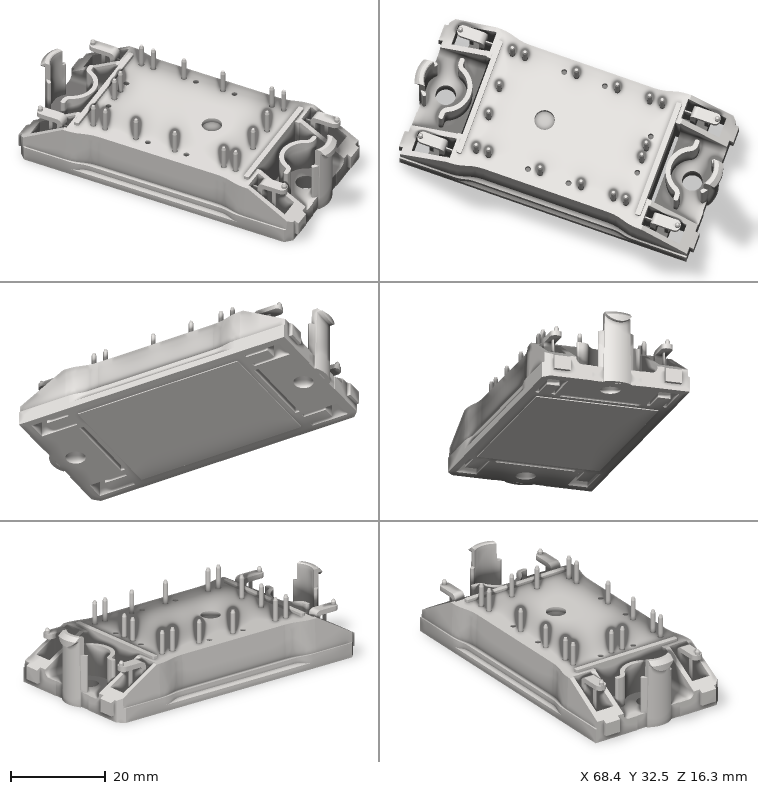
import cadquery as cq
import math

overall_length = 68.4
flange_width = 32.5
housing_bottom_z = 0.2
tab_bottom_z = 1.65
flange_top_z = 3.5
curved_wall_top_z = 10.5
housing_top_z = 11.1
wing_top_z = 11.75
pin_shoulder_z = 15.65
clip_top_z = 15.9
overall_height = 16.3

base_plate_length = 38.7
base_plate_width = 27.2

housing_half_length = 32.15
corner_chamfer = 1.45
upper_half_width = 15.9
waist_half_width = 14.65
upper_draft = 1.7
bend_outer_x = 21.15
bend_inner_x = 13.95
deck_half_length = 21.8
ramp_angle = 30.0

groove_half_length = 20.0
groove_inner_x = 15.4
groove_depth = 0.6
groove_bottom_z = 1.65

pocket_floor_z = 3.55
pocket_half_width = 9.0
pocket_fillet = 1.3
floor_slot_inner_x = 20.65
floor_slot_outer_x = 21.7
floor_slot_half_width = 8.8
end_recess_half_width = 5.5
end_recess_depth = 0.15
fixing_hole_x = -27.6
fixing_hole_diameter = 4.3

window_outer_x = -30.0
window_inner_x = -21.5
window_width = 4.45
side_y = 12.4
tab_reach = 0.9
tab_width = 3.6
arm_width = 2.45
arm_thickness = 1.1
arm_top_z = 11.55
arm_tip_x = -29.4
arm_leg_x = -23.1
arm_bend_radius = 1.15
arm_inner_radius = 0.55
arm_tip_radius = 1.1
post_x = -26.75
post_depth = 0.8
foot_width = 2.8
foot_height = 3.4
rib_thickness = 0.3
stay_top_z = 9.6
peg_x = -28.8
peg_diameter = 1.1
peg_tip_diameter = 0.55
peg_shoulder_z = 12.2
peg_top_z = 12.65

ring_inner_radius = 4.6
ring_outer_radius = 5.6
lip_radius = overall_length / 2 + fixing_hole_x
lip_bottom_z = 13.55
lip_edge_z = 15.0
clip_edge_chamfer = 0.2
clip_top_half_width = 2.8
clip_bottom_half_width = 3.1
wing_outer_radius = 5.4
wing_half_angle = 49.0
wing_end_radius = 0.35
wall_bend_radius = 1.4
wall_arm_x = -26.3
wall_half_width = 7.05
wall_end_radius = 0.4

ridge_width = 1.15
ridge_length = 26.05
ridge_chamfer = 0.2
pin_diameter = 1.0
pin_tip_diameter = 0.6
pin_hole_diameter = 1.2
pin_hole_depth = 1.0
dimple_x = 5.5
dimple_diameter = 4.3
dimple_depth = 1.0
pin_row_y = 11.3
row_pin_xs = (-16.8, -14.0, -6.8, 2.4, 13.95, 16.75)
row_hole_xs = (-4.0, 5.1)
left_column_x = -16.8
left_pitch = 2.8
left_pin_ys = (-left_pitch / 2, left_pitch / 2)
left_hole_ys = (-1.5 * left_pitch, 1.5 * left_pitch)
right_column_x = 16.75
right_pin_ys = (-3.1, 3.5)


def block(x_min, x_max, y_min, y_max, z_min, z_max):
    """Box given by its limits on each axis."""
    return (
        cq.Workplane("XY")
        .box(x_max - x_min, y_max - y_min, z_max - z_min, centered=False)
        .translate((x_min, y_min, z_min))
    )


def waisted_plan(base_z, half_length, wide, narrow, outer_x, inner_x):
    """Plan whose long sides step in smoothly from wide to narrow half width."""
    middle_x = (outer_x + inner_x) / 2
    middle_y = (wide + narrow) / 2
    return (
        cq.Workplane("XY", origin=(0, 0, base_z))
        .moveTo(-half_length, -wide)
        .lineTo(-outer_x, -wide)
        .tangentArcPoint((-middle_x, -middle_y), relative=False)
        .tangentArcPoint((-inner_x, -narrow), relative=False)
        .lineTo(inner_x, -narrow)
        .tangentArcPoint((middle_x, -middle_y), relative=False)
        .tangentArcPoint((outer_x, -wide), relative=False)
        .lineTo(half_length, -wide)
        .lineTo(half_length, wide)
        .lineTo(outer_x, wide)
        .tangentArcPoint((middle_x, middle_y), relative=False)
        .tangentArcPoint((inner_x, narrow), relative=False)
        .lineTo(-inner_x, narrow)
        .tangentArcPoint((-middle_x, middle_y), relative=False)
        .tangentArcPoint((-outer_x, wide), relative=False)
        .lineTo(-half_length, wide)
        .close()
    )


def both_ends(shape):
    """The shape at the -X end together with its mirror image at the +X end."""
    return shape.union(shape.mirror("YZ"))


def both_sides(shape):
    """The shape on the +Y side together with its mirror image on the -Y side."""
    return shape.union(shape.mirror("XZ"))


def housing_block(z_max):
    """Rectangular housing plan with the two -Y corners chamfered."""
    half_width = flange_width / 2
    return block(
        -housing_half_length, housing_half_length, -half_width, half_width, housing_bottom_z, z_max
    ).edges("|Z and <Y").chamfer(corner_chamfer)


def end_tabs():
    """Locating tabs on the end faces, trimmed later by the ramp."""
    tab = block(
        -housing_half_length - tab_reach, -housing_half_length,
        side_y - tab_width / 2, side_y + tab_width / 2,
        tab_bottom_z, housing_top_z,
    )
    return both_ends(both_sides(tab))


def ramp_cut():
    """Material above the ramp that falls from the deck to the end face."""
    run = overall_length / 2 - deck_half_length
    drop = run * math.tan(math.radians(ramp_angle))
    cutter = (
        cq.Workplane("XZ")
        .polyline([
            (-deck_half_length, housing_top_z),
            (-deck_half_length - run, housing_top_z),
            (-deck_half_length - run, housing_top_z - drop),
        ])
        .close()
        .extrude(flange_width / 2, both=True)
    )
    return both_ends(cutter)


def side_grooves():
    """Waisted recess in the flange sides with a floor sloping at 45 degrees."""
    half_width = flange_width / 2
    inner_y = half_width - 2 * groove_depth
    height = flange_top_z - groove_bottom_z
    kept = waisted_plan(
        groove_bottom_z, overall_length / 2, half_width, half_width - groove_depth,
        groove_half_length, groove_inner_x,
    ).extrude(height)
    above_floor = (
        cq.Workplane("YZ")
        .polyline([
            (half_width, groove_bottom_z),
            (half_width, flange_top_z),
            (inner_y, flange_top_z),
            (inner_y, groove_bottom_z + 2 * groove_depth),
        ])
        .close()
        .extrude(groove_half_length, both=True)
    )
    return both_sides(above_floor).cut(kept)


def end_pockets():
    """Open pocket at each end, its through slot, fixing hole and end recess."""
    pocket = block(
        -overall_length / 2, -floor_slot_outer_x, -pocket_half_width, pocket_half_width,
        pocket_floor_z, overall_height,
    ).edges("|X and <Z").fillet(pocket_fillet)
    slot = block(
        -floor_slot_outer_x, -floor_slot_inner_x, -floor_slot_half_width, floor_slot_half_width,
        0, overall_height,
    )
    hole = (
        cq.Workplane("XY")
        .center(fixing_hole_x, 0)
        .circle(fixing_hole_diameter / 2)
        .extrude(overall_height)
    )
    recess = block(
        -housing_half_length, -housing_half_length + end_recess_depth,
        -end_recess_half_width, end_recess_half_width,
        housing_bottom_z, pocket_floor_z,
    )
    return both_ends(pocket.union(slot).union(hole).union(recess))


def windows():
    """Rectangular through openings around the spring arms."""
    window = block(
        window_outer_x, window_inner_x,
        side_y - window_width / 2, side_y + window_width / 2,
        0, overall_height,
    )
    return both_ends(both_sides(window))


def spring_arms():
    """Angled arm on a leg, with a thin post under it and a small peg on its tip."""
    leg_inner_x = arm_leg_x - arm_thickness
    arm_underside_z = arm_top_z - arm_thickness
    arm = (
        cq.Workplane("XZ", origin=(0, side_y, 0))
        .moveTo(arm_tip_x, arm_top_z)
        .lineTo(arm_leg_x - arm_bend_radius, arm_top_z)
        .tangentArcPoint((arm_leg_x, arm_top_z - arm_bend_radius), relative=False)
        .lineTo(arm_leg_x, housing_bottom_z)
        .lineTo(leg_inner_x, housing_bottom_z)
        .lineTo(leg_inner_x, arm_underside_z - arm_inner_radius)
        .tangentArcPoint((leg_inner_x - arm_inner_radius, arm_underside_z), relative=False)
        .lineTo(arm_tip_x, arm_underside_z)
        .close()
        .extrude(arm_width / 2, both=True)
        .edges("|Z and <X")
        .fillet(arm_tip_radius)
    )
    post = block(
        post_x, post_x + post_depth, side_y - rib_thickness / 2, side_y + rib_thickness / 2,
        housing_bottom_z, arm_top_z - arm_thickness / 2,
    )
    foot = block(
        post_x, window_inner_x, side_y - foot_width / 2, side_y + foot_width / 2,
        housing_bottom_z, foot_height,
    )
    stay = block(
        leg_inner_x, window_inner_x, side_y - rib_thickness / 2, side_y + rib_thickness / 2,
        housing_bottom_z, stay_top_z,
    )
    peg = stud(peg_x, side_y, arm_top_z, peg_shoulder_z, peg_top_z, peg_diameter, peg_tip_diameter)
    return both_ends(both_sides(arm.union(post).union(foot).union(stay).union(peg)))


def stud(x, y, bottom_z, shoulder_z, top_z, diameter, tip_diameter):
    """Round pin with a conical tip above its shoulder."""
    return (
        cq.Workplane("XZ")
        .polyline([
            (0, bottom_z),
            (diameter / 2, bottom_z),
            (diameter / 2, shoulder_z),
            (tip_diameter / 2, top_z),
            (0, top_z),
        ])
        .close()
        .revolve(360, (0, 0, 0), (0, 1, 0))
        .translate((x, y, 0))
    )


def wall_edge_points(offset):
    """Points along one edge of the curved wall, offset from its centre line."""
    main_radius = (ring_inner_radius + ring_outer_radius) / 2
    bend_x = wall_arm_x + wall_bend_radius
    centre_distance = main_radius + wall_bend_radius
    joint_angle = math.acos((bend_x - fixing_hole_x) / centre_distance)
    bend_y = centre_distance * math.sin(joint_angle)
    bend_edge = wall_bend_radius - offset
    main_edge = main_radius + offset
    middle_angle = (math.pi + joint_angle + math.pi) / 2
    joint = (
        fixing_hole_x + main_edge * math.cos(joint_angle),
        main_edge * math.sin(joint_angle),
    )
    bend_middle = (
        bend_x + bend_edge * math.cos(middle_angle),
        bend_y + bend_edge * math.sin(middle_angle),
    )
    return [
        (wall_arm_x + offset, wall_half_width),
        (wall_arm_x + offset, bend_y),
        bend_middle,
        joint,
        (fixing_hole_x + main_edge, 0),
    ]


def curved_walls():
    """Wall around the inner half of the fixing hole, ending in two short arms."""
    half_thickness = (ring_outer_radius - ring_inner_radius) / 2
    end_out, bend_out, bend_mid_out, joint_out, crown_out = wall_edge_points(half_thickness)
    end_in, bend_in, bend_mid_in, joint_in, crown_in = wall_edge_points(-half_thickness)

    def low(point):
        return (point[0], -point[1])

    wall = (
        cq.Workplane("XY", origin=(0, 0, housing_bottom_z))
        .moveTo(*end_out)
        .lineTo(*bend_out)
        .threePointArc(bend_mid_out, joint_out)
        .threePointArc(crown_out, low(joint_out))
        .threePointArc(low(bend_mid_out), low(bend_out))
        .lineTo(*low(end_out))
        .lineTo(*low(end_in))
        .lineTo(*low(bend_in))
        .threePointArc(low(bend_mid_in), low(joint_in))
        .threePointArc(crown_in, joint_in)
        .threePointArc(bend_mid_in, bend_in)
        .lineTo(*end_in)
        .close()
        .extrude(curved_wall_top_z - housing_bottom_z)
        .edges("|Z")
        .edges("<Y or >Y")
        .fillet(wall_end_radius)
    )
    return both_ends(wall)


def ring_about_hole(profile, angle):
    """Sector of a ring around the fixing hole, centred on the -X direction."""
    return (
        cq.Workplane("XZ")
        .polyline(profile)
        .close()
        .revolve(angle, (0, 0, 0), (0, 1, 0))
        .rotate((0, 0, 0), (0, 0, 1), 180 - angle / 2)
        .translate((fixing_hole_x, 0, 0))
    )


def clips():
    """Upright curved clip with an outward lip and a lower wing on each side."""
    bottom = clip_bottom_half_width
    top = clip_top_half_width
    clip_ring = ring_about_hole([
        (ring_inner_radius, housing_bottom_z),
        (ring_outer_radius, housing_bottom_z),
        (ring_outer_radius, clip_top_z),
        (ring_inner_radius + clip_edge_chamfer, clip_top_z),
        (ring_inner_radius, clip_top_z - clip_edge_chamfer),
    ], 180)
    clip_front = (
        cq.Workplane("YZ")
        .polyline([
            (-bottom, housing_bottom_z), (bottom, housing_bottom_z), (top, clip_top_z), (-top, clip_top_z),
        ])
        .close()
        .extrude(-overall_length)
    )
    lip_ring = ring_about_hole([
        (ring_inner_radius + clip_edge_chamfer, lip_bottom_z),
        (lip_radius, lip_bottom_z),
        (lip_radius, lip_edge_z),
        (ring_outer_radius, clip_top_z),
        (ring_inner_radius + clip_edge_chamfer, clip_top_z),
    ], 180)
    lip_front = (
        cq.Workplane("YZ")
        .moveTo(-top, clip_top_z)
        .lineTo(-top, lip_edge_z)
        .threePointArc((0, lip_bottom_z), (top, lip_edge_z))
        .lineTo(top, clip_top_z)
        .close()
        .extrude(-overall_length)
    )
    wings = ring_about_hole([
        (ring_inner_radius, pocket_floor_z),
        (wing_outer_radius, pocket_floor_z),
        (wing_outer_radius, wing_top_z),
        (ring_inner_radius, wing_top_z),
    ], 2 * wing_half_angle).edges("|Z").fillet(wing_end_radius)
    return both_ends(clip_ring.intersect(clip_front).union(lip_ring.intersect(lip_front)).union(wings))


def ridges():
    """Bars on the deck, flush with the housing walls beside the through slots."""
    ridge = block(
        -floor_slot_inner_x, -floor_slot_inner_x + ridge_width, -ridge_length / 2, ridge_length / 2,
        housing_top_z, wing_top_z,
    ).edges("|Z").chamfer(ridge_chamfer)
    return both_ends(ridge)


def deck_holes(points, diameter, depth):
    """Blind round holes sunk from the deck."""
    return (
        cq.Workplane("XY", origin=(0, 0, housing_top_z))
        .pushPoints(points)
        .circle(diameter / 2)
        .extrude(-depth)
    )


pin_points = [(x, y) for x in row_pin_xs for y in (-pin_row_y, pin_row_y)]
pin_points += [(left_column_x, y) for y in left_pin_ys]
pin_points += [(right_column_x, y) for y in right_pin_ys]
hole_points = [(x, y) for x in row_hole_xs for y in (-pin_row_y, pin_row_y)]
hole_points += [(left_column_x, y) for y in left_hole_ys]

upper_body = waisted_plan(
    flange_top_z, overall_length / 2, upper_half_width, waist_half_width, bend_outer_x, bend_inner_x
).extrude(housing_top_z - flange_top_z, taper=upper_draft)
upper_body = upper_body.intersect(housing_block(housing_top_z))

body = housing_block(flange_top_z).union(upper_body).union(end_tabs())
body = body.cut(ramp_cut()).cut(side_grooves()).cut(end_pockets()).cut(windows())
body = body.union(
    block(
        -base_plate_length / 2, base_plate_length / 2, -base_plate_width / 2, base_plate_width / 2,
        0, housing_bottom_z,
    )
)

body = body.union(curved_walls()).union(clips()).union(spring_arms()).union(ridges())
body = body.cut(deck_holes(pin_points + hole_points, pin_hole_diameter, pin_hole_depth))
body = body.cut(deck_holes([(dimple_x, 0)], dimple_diameter, dimple_depth))
for pin_x, pin_y in pin_points:
    body = body.union(
        stud(
            pin_x, pin_y, housing_top_z - pin_hole_depth, pin_shoulder_z, overall_height,
            pin_diameter, pin_tip_diameter,
        )
    )

result = body